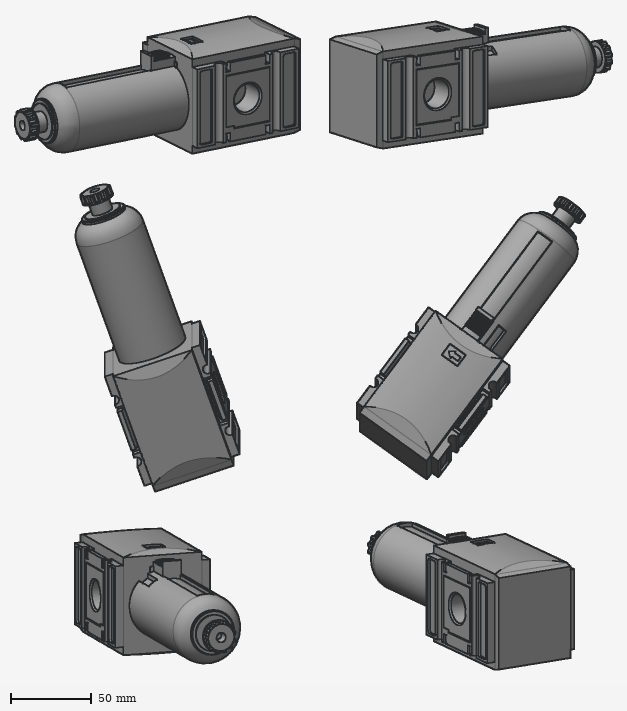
import cadquery as cq
import math


overall_length = 189.5
cap_end_y = 42.5
tail_end_y = cap_end_y - overall_length
cap_thickness = 4.7
housing_half_length = cap_end_y - cap_thickness
bowl_face_y = -housing_half_length

block_half_width = 26.0
block_half_height = 31.0
crown_half_height = 33.5
crown_slope_length = 8.5

pad_half_width = 31.5
pad_half_height = 26.0
rod_groove_radius = 2.8
rod_groove_depth = 3.6
rod_groove_y = 21.2
pocket_y = 30.9
pocket_width = 9.1
pocket_height = 48.5
pocket_corner_radius = 1.5
pocket_depth = 1.7

lip_cut_depth = 5.7
lip_half_length = 13.3
lip_cut_half_length = 16.1
lip_tip_thickness = 2.8
lip_root_thickness = 4.4

panel_half_length = 16.1
panel_half_height = 18.0
panel_depth = 0.2
panel_bevel = 0.5
panel_step_length = 5.9
panel_step_height = 1.9

port_radius = 9.3
port_chamfer = 1.1
port_depth = 17.0

badge_y = -21.5
badge_length = 12.1
badge_width = 8.7
badge_floor_z = 32.0
arrow_height = 0.5
arrow_tail_x = -4.4
arrow_neck_x = 0.4
arrow_tip_x = 4.0
arrow_shaft_half_width = 1.5
arrow_head_half_width = 2.8

bowl_radius = 22.0
bowl_dome_y = -118.8
bowl_dome_radius = 12.0
cut_floor_radius = 19.5
window_half_width = 5.5
window_end_y = -117.7
side_recess_x = -9.9

ring_radius = 14.2
ring_end_y = -131.9
ring_chamfer = 0.5
disc_radius = 11.5
disc_height = 0.8
shaft_radius = 6.6
knob_radius = 10.0
knob_start_y = -141.0
knob_end_radius = 8.5
knob_bevel_length = 0.5
knob_rim = 1.0
knob_groove_count = 12
knob_groove_floor_radius = 8.7
knob_groove_floor_width = 1.7
knob_groove_mouth_width = 4.2
drain_hole_mouth_radius = 3.0
drain_hole_floor_radius = 2.0
drain_hole_depth = 5.7

latch_half_width = 6.0
latch_length = 17.8
latch_base_height = 17.6
latch_floor_radius = 27.7
latch_stop_height = 30.7
latch_stop_thickness = 2.5
tooth_count = 5
tooth_pitch = 2.3
tooth_thickness = 1.1
tooth_top_radius = 29.4
first_tooth_offset = 4.0
foot_half_width = 8.3
foot_height = 24.3
foot_thickness = 0.5
foot_corner_radius = 1.1


def box(x_range, y_range, z_range):
    """Box between two corner values on each axis."""
    sizes = [high - low for low, high in (x_range, y_range, z_range)]
    corner = (x_range[0], y_range[0], z_range[0])
    return cq.Workplane("XY").box(*sizes, centered=False).translate(corner)


def section_at(y):
    """XZ work plane at a place along Y; extrusions run toward -Y."""
    return cq.Workplane("XZ", origin=(0, y, 0))


def crowned_block():
    """Block with bowed top and bottom, sloped off at both ends of the crown."""
    crowned = (
        section_at(cap_end_y)
        .moveTo(-block_half_width, -block_half_height)
        .lineTo(-block_half_width, block_half_height)
        .threePointArc((0, crown_half_height), (block_half_width, block_half_height))
        .lineTo(block_half_width, -block_half_height)
        .threePointArc((0, -crown_half_height), (-block_half_width, -block_half_height))
        .close()
        .extrude(cap_end_y - bowl_face_y)
    )
    slope = (crown_half_height - block_half_height) / crown_slope_length
    cap_end_z = block_half_height - slope * cap_thickness
    crown_y = housing_half_length - crown_slope_length
    upper_side = [
        (cap_end_y, cap_end_z),
        (crown_y, crown_half_height),
        (-crown_y, crown_half_height),
        (bowl_face_y, block_half_height),
    ]
    lower_side = [(y, -z) for y, z in reversed(upper_side)]
    side_outline = (
        cq.Workplane("YZ").polyline(upper_side + lower_side).close().extrude(block_half_width, both=True)
    )
    return crowned.intersect(side_outline)


def block_between(y_low, y_high):
    """The stretch of the crowned block between two places along Y."""
    reach = pad_half_width + crown_half_height
    return crowned_block().intersect(box((-reach, reach), (y_low, y_high), (-reach, reach)))


def rod_groove(y):
    """Round-bottomed groove along Z in the outer face of a pad."""
    centre_x = pad_half_width - rod_groove_depth + rod_groove_radius
    round_bottom = (
        cq.Workplane("XY").center(centre_x, y).circle(rod_groove_radius).extrude(pad_half_height, both=True)
    )
    straight_mouth = box(
        (centre_x, pad_half_width),
        (y - rod_groove_radius, y + rod_groove_radius),
        (-pad_half_height, pad_half_height),
    )
    return round_bottom.union(straight_mouth)


def pad_pocket(y):
    """Shallow upright pocket with rounded corners."""
    return (
        cq.Workplane("YZ", origin=(pad_half_width - pocket_depth, y, 0))
        .rect(pocket_width, pocket_height)
        .extrude(pocket_depth)
        .edges("|X")
        .fillet(pocket_corner_radius)
    )


def lip_cut():
    """Cut at the top of a pad that leaves a snap lip with a slanted back."""
    cut_floor_z = pad_half_height - lip_cut_depth
    cut = box(
        (block_half_width, pad_half_width),
        (-lip_cut_half_length, lip_cut_half_length),
        (cut_floor_z, pad_half_height),
    )
    lip = (
        section_at(lip_half_length)
        .polyline([
            (pad_half_width, cut_floor_z),
            (pad_half_width, pad_half_height),
            (pad_half_width - lip_tip_thickness, pad_half_height),
            (pad_half_width - lip_root_thickness, cut_floor_z),
        ])
        .close()
        .extrude(2 * lip_half_length)
    )
    return cut.cut(lip)


def label_panel():
    """Shallow recess with bevelled top and bottom and one stepped lower corner."""
    floor_x = pad_half_width - panel_depth
    floor_half_height = panel_half_height - panel_bevel
    recess = (
        section_at(panel_half_length)
        .polyline([
            (pad_half_width, panel_half_height),
            (pad_half_width, -panel_half_height),
            (floor_x, -floor_half_height),
            (floor_x, floor_half_height),
        ])
        .close()
        .extrude(2 * panel_half_length)
    )
    step = box(
        (floor_x, pad_half_width),
        (-panel_half_length, -panel_half_length + panel_step_length),
        (-panel_half_height, -panel_half_height + panel_step_height),
    )
    return recess.cut(step)


def side_pad():
    pad = box(
        (block_half_width, pad_half_width),
        (-housing_half_length, housing_half_length),
        (-pad_half_height, pad_half_height),
    )
    upper_lip_cut = lip_cut()
    pad = pad.cut(upper_lip_cut).cut(upper_lip_cut.mirror("XY")).cut(label_panel())
    for side in (1, -1):
        pad = pad.cut(rod_groove(side * rod_groove_y)).cut(pad_pocket(side * pocket_y))
    return pad


def port():
    """Blind port on the +X side with a chamfered mouth."""
    mouth_x = pad_half_width - panel_depth
    return (
        cq.Workplane("XY")
        .polyline([
            (mouth_x - port_depth, 0),
            (mouth_x - port_depth, port_radius),
            (mouth_x - port_chamfer, port_radius),
            (mouth_x, port_radius + port_chamfer),
            (mouth_x, 0),
        ])
        .close()
        .revolve(360, (0, 0, 0), (1, 0, 0))
    )


def flow_badge():
    """Rectangular recess in the crown, with the raised arrow left standing."""
    badge_plane = cq.Workplane("XY", origin=(0, badge_y, badge_floor_z))
    recess = badge_plane.rect(badge_length, badge_width).extrude(crown_half_height - badge_floor_z)
    upper_half = [
        (arrow_tail_x, arrow_shaft_half_width),
        (arrow_neck_x, arrow_shaft_half_width),
        (arrow_neck_x, arrow_head_half_width),
    ]
    lower_half = [(x, -y) for x, y in reversed(upper_half)]
    arrow = badge_plane.polyline(upper_half + [(arrow_tip_x, 0)] + lower_half).close().extrude(arrow_height)
    return recess.cut(arrow)


def bowl_and_drain():
    """Bowl, end ring, shaft and knob turned about the Y axis."""
    dome_centre_r = bowl_radius - bowl_dome_radius
    dome_end_angle = math.acos((ring_radius - dome_centre_r) / bowl_dome_radius)

    def dome_point(angle):
        return (
            dome_centre_r + bowl_dome_radius * math.cos(angle),
            bowl_dome_y - bowl_dome_radius * math.sin(angle),
        )

    return (
        cq.Workplane("XY")
        .moveTo(0, bowl_face_y)
        .lineTo(bowl_radius, bowl_face_y)
        .lineTo(bowl_radius, bowl_dome_y)
        .threePointArc(dome_point(dome_end_angle / 2), dome_point(dome_end_angle))
        .lineTo(ring_radius, ring_end_y + ring_chamfer)
        .lineTo(ring_radius - ring_chamfer, ring_end_y)
        .lineTo(disc_radius, ring_end_y)
        .lineTo(disc_radius, ring_end_y - disc_height)
        .lineTo(shaft_radius, ring_end_y - disc_height)
        .lineTo(shaft_radius, knob_start_y)
        .lineTo(knob_radius, knob_start_y)
        .lineTo(knob_radius, tail_end_y + knob_bevel_length)
        .lineTo(knob_end_radius, tail_end_y)
        .lineTo(0, tail_end_y)
        .close()
        .revolve(360, (0, 0, 0), (0, 1, 0))
    )


def knob_groove(angle):
    """Tapered grip groove from the knob's rim to its free end."""
    start_y = knob_start_y - knob_rim
    half_floor = knob_groove_floor_width / 2
    half_mouth = knob_groove_mouth_width / 2
    return (
        section_at(start_y)
        .polyline([
            (-half_floor, knob_groove_floor_radius),
            (-half_mouth, knob_radius),
            (half_mouth, knob_radius),
            (half_floor, knob_groove_floor_radius),
        ])
        .close()
        .extrude(start_y - tail_end_y)
        .rotate((0, 0, 0), (0, 1, 0), angle)
    )


def drain_hole():
    """Tapered blind hole in the knob's free end."""
    return (
        cq.Workplane("XY")
        .polyline([
            (0, tail_end_y),
            (drain_hole_mouth_radius, tail_end_y),
            (drain_hole_floor_radius, tail_end_y + drain_hole_depth),
            (0, tail_end_y + drain_hole_depth),
        ])
        .close()
        .revolve(360, (0, 0, 0), (0, 1, 0))
    )


def bowl_wall_layer(y_start, y_end):
    """Outer layer of the bowl wall, down to the floor of its recesses."""
    return section_at(y_start).circle(bowl_radius).circle(cut_floor_radius).extrude(y_start - y_end)


def window_recess():
    """Long flat-sided recess along the top of the bowl."""
    sides = box((-window_half_width, window_half_width), (window_end_y, bowl_face_y), (0, bowl_radius))
    return bowl_wall_layer(bowl_face_y, window_end_y).intersect(sides)


def side_recess():
    """Short recess from an upright wall to a radial wall at 45 degrees."""
    end_y = bowl_face_y - latch_length
    sides = (
        section_at(bowl_face_y)
        .polyline([
            (side_recess_x, -side_recess_x),
            (-bowl_radius, bowl_radius),
            (side_recess_x, bowl_radius),
        ])
        .close()
        .extrude(latch_length)
    )
    return bowl_wall_layer(bowl_face_y, end_y).intersect(sides)


def latch_layer(top_radius, y_start, thickness):
    """Slice of the latch with its top rounded about the bowl axis."""
    sides = box(
        (-latch_half_width, latch_half_width),
        (y_start - thickness, y_start),
        (latch_base_height, top_radius),
    )
    return section_at(y_start).circle(top_radius).extrude(thickness).intersect(sides)


def latch():
    """Latch with a toothed grip, an end stop and a wider foot against the housing."""
    body = latch_layer(latch_floor_radius, bowl_face_y, latch_length)
    for index in range(tooth_count):
        tooth_y = bowl_face_y - first_tooth_offset - index * tooth_pitch
        body = body.union(latch_layer(tooth_top_radius, tooth_y, tooth_thickness))
    end_y = bowl_face_y - latch_length
    stop = box(
        (-latch_half_width, latch_half_width),
        (end_y, end_y + latch_stop_thickness),
        (latch_base_height, latch_stop_height),
    )
    foot = box(
        (-foot_half_width, foot_half_width),
        (bowl_face_y - foot_thickness, bowl_face_y),
        (latch_base_height, foot_height),
    )
    return body.union(stop).union(foot.edges("|Y and >Z").fillet(foot_corner_radius))


def make_housing():
    """Housing core with an end cap, two side pads and two ports.

    The pieces are joined without merging their flush faces, which keeps the parting lines.
    """
    core = block_between(-housing_half_length, housing_half_length).cut(flow_badge())
    end_cap = block_between(housing_half_length, cap_end_y)
    right_pad = side_pad()
    right_port = port()
    housing = core
    for piece in (end_cap, right_pad, right_pad.mirror("YZ")):
        housing = housing.union(piece, clean=False)
    for hole in (right_port, right_port.mirror("YZ")):
        housing = housing.cut(hole, clean=False)
    return housing


def make_bowl():
    """Bowl with its recesses, latch and drain knob."""
    bowl = bowl_and_drain().cut(window_recess()).cut(side_recess()).cut(drain_hole())
    for index in range(knob_groove_count):
        bowl = bowl.cut(knob_groove(index * 360 / knob_groove_count))
    return bowl.union(latch())


housing = make_housing()
bowl = make_bowl()
result = cq.Compound.makeCompound([housing.val(), bowl.val()])